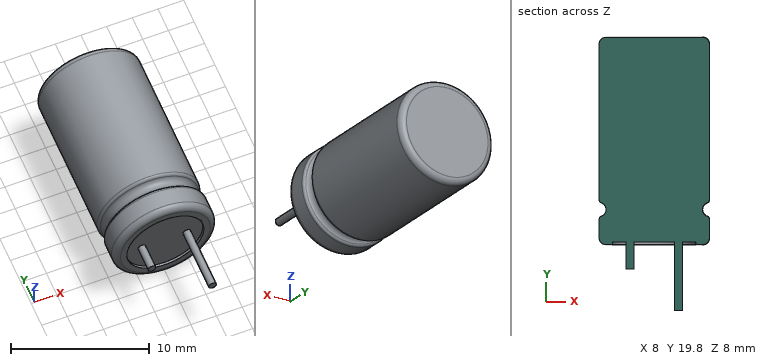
import cadquery as cq
import math

can_radius = 4.0
can_length = 15.0
rim_fillet = 0.5

groove_position = 2.55
groove_radius = 0.5
groove_edge_fillet = 0.25

recess_radius = 3.0
recess_depth = 0.2

lead_radius = 0.3
lead_pitch = 3.5
short_lead_length = 1.75
long_lead_length = 4.75


def make_can():
    """Revolve the half profile (radius, Y) of the can about the Y axis."""
    fillet_centre_radius = can_radius - groove_edge_fillet
    centre_distance = groove_radius + groove_edge_fillet
    half_width = math.sqrt(centre_distance**2 - groove_edge_fillet**2)
    tangent_share = groove_radius / centre_distance
    tangent_offset = half_width * tangent_share
    tangent_radius = can_radius - groove_edge_fillet * tangent_share
    fillet_mid_angle = (math.pi / 2 + math.asin(groove_edge_fillet / centre_distance)) / 2
    fillet_mid_radius = fillet_centre_radius + groove_edge_fillet * math.sin(fillet_mid_angle)
    fillet_mid_offset = half_width - groove_edge_fillet * math.cos(fillet_mid_angle)

    profile = (
        cq.Workplane("XY")
        .moveTo(0, 0)
        .lineTo(can_radius, 0)
        .lineTo(can_radius, groove_position - half_width)
        .threePointArc(
            (fillet_mid_radius, groove_position - fillet_mid_offset),
            (tangent_radius, groove_position - tangent_offset),
        )
        .threePointArc(
            (can_radius - groove_radius, groove_position),
            (tangent_radius, groove_position + tangent_offset),
        )
        .threePointArc(
            (fillet_mid_radius, groove_position + fillet_mid_offset),
            (can_radius, groove_position + half_width),
        )
        .lineTo(can_radius, can_length)
        .lineTo(0, can_length)
        .close()
    )
    can = profile.revolve(360, (0, 0, 0), (0, 1, 0))
    return can.faces("<Y or >Y").edges().fillet(rim_fillet)


def make_rod(x, radius, start_y, end_y):
    """A round rod parallel to Y, from start_y to end_y."""
    length = end_y - start_y
    solid = cq.Solid.makeCylinder(radius, length, cq.Vector(x, start_y, 0), cq.Vector(0, 1, 0))
    return cq.Workplane(obj=solid)


result = make_can().cut(make_rod(0, recess_radius, 0, recess_depth))
for lead_x, lead_length in (
    (-lead_pitch / 2, short_lead_length),
    (lead_pitch / 2, long_lead_length),
):
    result = result.union(make_rod(lead_x, lead_radius, -lead_length, recess_depth))